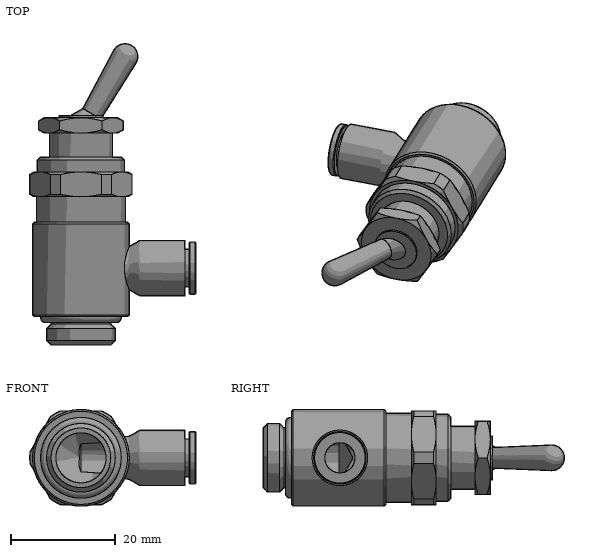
import cadquery as cq
import math


CENTRE = (0, 0, 0)
ALONG_Y = (0, 1, 0)
ALONG_X = (1, 0, 0)
DRILL_TIP_SLOPE = math.tan(math.radians(30))

spigot_radius = 6.55
spigot_chamfer = 0.85
spigot_end = 3.15
undercut_radius = 5.75
undercut_start = spigot_end + spigot_radius - undercut_radius

seal_tube_radius = 1.0
seal_outer_radius = undercut_radius + 2 * seal_tube_radius
seal_bottom = 4.25
seal_centre = seal_bottom + seal_tube_radius

barrel_diameter = 18.5
barrel_radius = barrel_diameter / 2
barrel_chamfer = 0.35
barrel_bottom = 5.4
barrel_top = 23.5
neck_radius = 8.5
collar_radius = 8.35
collar_chamfer = 0.6
stem_radius = 6.05

HEX_CORNER = 1 / math.cos(math.radians(30))
HEX_CHAMFER_SLOPE = math.tan(math.radians(30))
large_hex_flat = 9.0
large_hex_corner = 9.8
large_hex_bottom = 28.35
large_hex_top = 33.05
small_hex_flat = 7.0
small_hex_corner = small_hex_flat * HEX_CORNER
small_hex_bottom = 40.5
small_hex_top = 43.4

collar_top = 35.9
bush_radius = 4.2
bush_top = 43.8

lever_tilt = 30
lever_pivot = 40.55
lever_base_distance = 4.2
lever_tip_distance = 16.8
lever_base_radius = 2.0
lever_tip_radius = 2.5
lever_foot_flare = math.radians(30)
lever_foot_radius = lever_base_radius + lever_base_distance * math.tan(lever_foot_flare)

inlet_radius = 4.8
inlet_depth = 14.5
port_height = 14.7
port_bore_radius = 2.9

port_neck_radius = 4.1
port_neck_end = 8.85
port_radius = 5.3
port_cone_angle = math.radians(30)
port_neck_fillet = 1.0
port_shoulder_fillet = 0.7
port_end = 19.85
collet_neck_radius = 3.6
collet_start = 20.7
collet_end = 21.95
collet_radius = 5.0
collet_chamfer = 0.2


def cylinder_along_y(radius, bottom, top):
    base = cq.Vector(0, bottom, 0)
    return cq.Workplane(cq.Solid.makeCylinder(radius, top - bottom, base, cq.Vector(ALONG_Y)))


def lower_core():
    """Spigot, undercut, half-round sealing ring, barrel and neck turned in one profile."""
    return (
        cq.Workplane("XY")
        .lineTo(spigot_radius - spigot_chamfer, 0)
        .lineTo(spigot_radius, spigot_chamfer)
        .lineTo(spigot_radius, spigot_end)
        .lineTo(undercut_radius, undercut_start)
        .lineTo(undercut_radius, seal_centre)
        .threePointArc((undercut_radius + seal_tube_radius, seal_bottom), (seal_outer_radius, seal_centre))
        .lineTo(seal_outer_radius, barrel_bottom)
        .lineTo(barrel_radius - barrel_chamfer, barrel_bottom)
        .lineTo(barrel_radius, barrel_bottom + barrel_chamfer)
        .lineTo(barrel_radius, barrel_top - barrel_chamfer)
        .lineTo(barrel_radius - barrel_chamfer, barrel_top)
        .lineTo(neck_radius, barrel_top)
        .lineTo(neck_radius, large_hex_bottom)
        .lineTo(0, large_hex_bottom)
        .close()
        .revolve(360, CENTRE, ALONG_Y)
    )


def hexagon(flat, corner, bottom, top):
    """Hexagon along Y, its corners turned to a radius and chamfered at both ends."""
    prism = (
        cq.Workplane("XZ", origin=(0, bottom, 0))
        .polygon(6, 2 * flat * HEX_CORNER)
        .extrude(bottom - top)
    )
    chamfer_length = (corner - flat) * HEX_CHAMFER_SLOPE
    turned = (
        cq.Workplane("XY")
        .moveTo(0, bottom)
        .lineTo(flat, bottom)
        .lineTo(corner, bottom + chamfer_length)
        .lineTo(corner, top - chamfer_length)
        .lineTo(flat, top)
        .lineTo(0, top)
        .close()
        .revolve(360, CENTRE, ALONG_Y)
    )
    return prism.intersect(turned)


def make_lever():
    """Tapered handle with a domed end and a flared foot, tilted about the pivot."""
    upright = (
        cq.Workplane("XY")
        .lineTo(lever_foot_radius, 0)
        .lineTo(lever_base_radius, lever_base_distance)
        .lineTo(lever_tip_radius, lever_tip_distance)
        .radiusArc((0, lever_tip_distance + lever_tip_radius), -lever_tip_radius)
        .close()
        .revolve(360, CENTRE, ALONG_Y)
    )
    return upright.rotate(CENTRE, (0, 0, 1), -lever_tilt).translate((0, lever_pivot, 0))


def inlet_bore():
    """Blind drilled bore with a conical tip."""
    return (
        cq.Workplane("XY")
        .lineTo(inlet_radius, 0)
        .lineTo(inlet_radius, inlet_depth)
        .lineTo(0, inlet_depth + inlet_radius * DRILL_TIP_SLOPE)
        .close()
        .revolve(360, CENTRE, ALONG_Y)
    )


def port_bore():
    """Bore drilled along -X from the tube end, its tip cone starting on the valve axis."""
    return (
        cq.Workplane("XY", origin=(0, port_height, 0))
        .moveTo(-port_bore_radius * DRILL_TIP_SLOPE, 0)
        .lineTo(0, port_bore_radius)
        .lineTo(collet_end, port_bore_radius)
        .lineTo(collet_end, 0)
        .close()
        .revolve(360, CENTRE, ALONG_X)
    )


def side_port():
    """Port turned about its own axis: neck, filleted cone, barrel and collet."""
    fillet_run = math.sin(port_cone_angle)
    fillet_rise = 1 - math.cos(port_cone_angle)
    cone_start = port_neck_end + port_neck_fillet * fillet_run
    cone_start_radius = port_neck_radius + port_neck_fillet * fillet_rise
    cone_end_radius = port_radius - port_shoulder_fillet * fillet_rise
    cone_end = cone_start + (cone_end_radius - cone_start_radius) / math.tan(port_cone_angle)
    shoulder_end = cone_end + port_shoulder_fillet * fillet_run
    return (
        cq.Workplane("XY", origin=(0, port_height, 0))
        .lineTo(0, port_neck_radius)
        .lineTo(port_neck_end, port_neck_radius)
        .radiusArc((cone_start, cone_start_radius), -port_neck_fillet)
        .lineTo(cone_end, cone_end_radius)
        .radiusArc((shoulder_end, port_radius), port_shoulder_fillet)
        .lineTo(port_end, port_radius)
        .lineTo(port_end, collet_neck_radius)
        .lineTo(collet_start, collet_neck_radius)
        .lineTo(collet_start, collet_radius - collet_chamfer)
        .lineTo(collet_start + collet_chamfer, collet_radius)
        .lineTo(collet_end - collet_chamfer, collet_radius)
        .lineTo(collet_end, collet_radius - collet_chamfer)
        .lineTo(collet_end, 0)
        .close()
        .revolve(360, CENTRE, ALONG_X)
    )


def make_housing():
    """Valve body with its hexagons and side port, recessed at the top for the lever foot."""
    collar = cylinder_along_y(collar_radius, large_hex_top, collar_top).faces(">Y").chamfer(collar_chamfer)
    return (
        lower_core()
        .union(hexagon(large_hex_flat, large_hex_corner, large_hex_bottom, large_hex_top))
        .union(collar)
        .union(cylinder_along_y(stem_radius, collar_top, small_hex_bottom))
        .union(hexagon(small_hex_flat, small_hex_corner, small_hex_bottom, small_hex_top))
        .union(cylinder_along_y(bush_radius, small_hex_top, bush_top))
        .union(side_port())
        .cut(inlet_bore())
        .cut(port_bore())
        .cut(make_lever())
    )


housing = make_housing()
lever = make_lever()

result = cq.Compound.makeCompound([housing.solids().val(), lever.solids().val()])